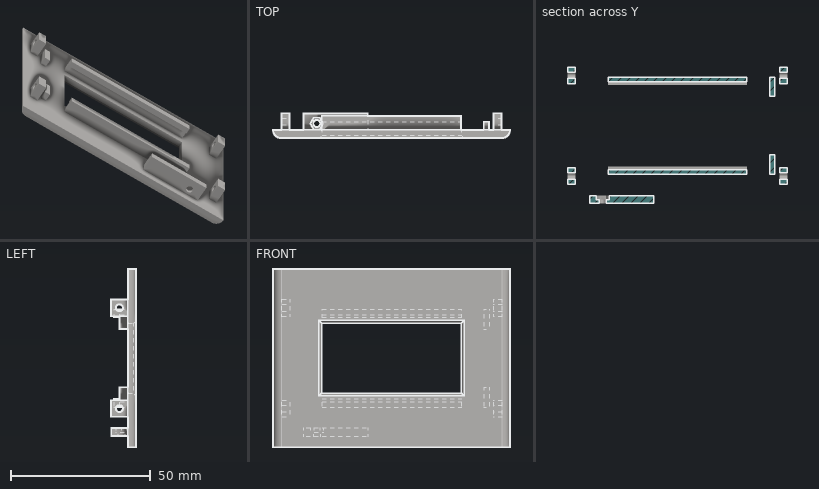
import cadquery as cq
import math

plate_width = 85
plate_height = 64.0
total_depth = 9.0
plate_thickness = 3.0
side_radius = plate_thickness

window_width = 50.0
window_height = 25.0
window_chamfer = 1.0

lug_thickness = 3.0
lug_length = 6.0
lug_center_x = 38.0
lug_center_z = 18.0
lug_height = total_depth - plate_thickness
hole_diameter = 2.5
lug_hole_height = lug_height / 2

rail_length = window_width
rail_height = 5.0
rail_outer_z = 17.5
rail_wall_thickness = 1.9
lip_inner_z = 14.6
lip_start = 3.0

tab_thickness = 2.0
tab_height = 3.0
tab_center_x = 34
tab_inner_z = 10.4
tab_outer_z = rail_outer_z

block_left_x = -31.5
block_right_x = -8.5
block_top_z = -25.0
block_thickness = 3.0
block_height = 5.95
nut_center_x = -26.8
nut_hole_height = 2.3
nut_across_flats = 4.0
nut_across_corners = nut_across_flats / math.cos(math.pi / 6)
nut_pocket_depth = block_thickness / 2

embed = 0.4


def back_block(x_size, z_size, height, x_center, z_center):
    """Rectangular block standing on the back of the plate."""
    return (
        cq.Workplane("XY")
        .box(x_size, height + embed, z_size, centered=(True, False, True))
        .translate((x_center, plate_thickness - embed, z_center))
    )


def make_plate():
    return (
        cq.Workplane("XY")
        .moveTo(-plate_width / 2, plate_thickness)
        .radiusArc((-plate_width / 2 + side_radius, 0), -side_radius)
        .lineTo(plate_width / 2 - side_radius, 0)
        .radiusArc((plate_width / 2, plate_thickness), -side_radius)
        .close()
        .extrude(plate_height / 2, both=True)
    )


def make_window():
    opening = cq.Workplane("XY").box(
        window_width, plate_thickness, window_height, centered=(True, False, True)
    )
    flare = (
        cq.Workplane("XZ")
        .rect(window_width + 2 * window_chamfer, window_height + 2 * window_chamfer)
        .workplane(offset=-window_chamfer)
        .rect(window_width, window_height)
        .loft()
    )
    return opening.union(flare)


def make_lug(x_center, z_center):
    lug = back_block(lug_thickness, lug_length, lug_height, x_center, z_center)
    hole = (
        cq.Workplane("YZ", origin=(x_center, plate_thickness + lug_hole_height, z_center))
        .circle(hole_diameter / 2)
        .extrude(lug_thickness, both=True)
    )
    return lug.cut(hole)


def make_rail(level):
    rail_center_z = (rail_outer_z + lip_inner_z) / 2
    rail = back_block(rail_length, rail_outer_z - lip_inner_z, rail_height, 0, level * rail_center_z)
    wall_inner_z = rail_outer_z - rail_wall_thickness
    groove = back_block(
        rail_length, wall_inner_z - lip_inner_z, lip_start, 0, level * (wall_inner_z + lip_inner_z) / 2
    )
    return rail.cut(groove)


def make_tab(level):
    tab_center_z = (tab_inner_z + tab_outer_z) / 2
    return back_block(
        tab_thickness, tab_outer_z - tab_inner_z, tab_height, tab_center_x, level * tab_center_z
    )


def make_nut_block():
    block = back_block(
        block_right_x - block_left_x,
        block_thickness,
        block_height,
        (block_left_x + block_right_x) / 2,
        block_top_z - block_thickness / 2,
    )
    nut_center = (nut_center_x, plate_thickness + nut_hole_height, block_top_z)
    nut_face = cq.Workplane("XY", origin=nut_center)
    hole = nut_face.circle(hole_diameter / 2).extrude(-block_thickness)
    pocket = nut_face.polygon(6, nut_across_corners).extrude(-nut_pocket_depth)
    return block.cut(hole).cut(pocket)


result = make_plate().cut(make_window())

for level in (-1, 1):
    result = result.union(make_rail(level)).union(make_tab(level))
    for side in (-1, 1):
        result = result.union(make_lug(side * lug_center_x, level * lug_center_z))

result = result.union(make_nut_block())